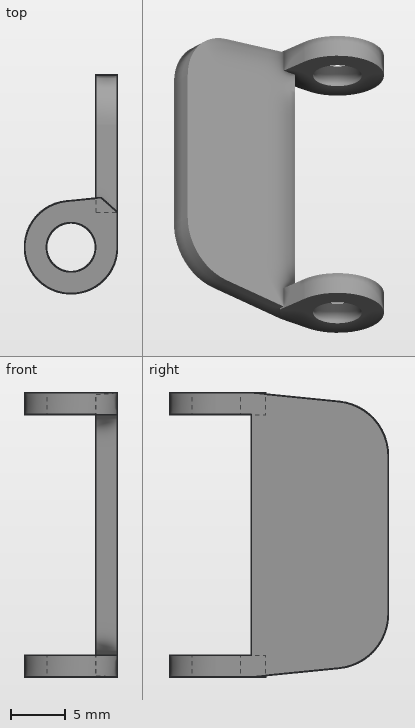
import cadquery as cq
import math

thickness = 2.0
height = 26.0
length = 20.0
eye_radius = 4.25
hole_diameter = 4.46
panel_start_y = 3.2
panel_corner_radius = 5.0
taper = math.radians(5.7)
eye_peak_x = 2.75

panel_tip_y = length - eye_radius
panel_inner_x = eye_radius - thickness
half_height = height / 2
panel_tip_half_height = half_height - (panel_tip_y - panel_start_y) * math.tan(taper)


def make_panel():
    """Flat plate that narrows away from the hinge axis, with rounded far corners."""
    outline = [
        (panel_start_y, -half_height),
        (panel_tip_y, -panel_tip_half_height),
        (panel_tip_y, panel_tip_half_height),
        (panel_start_y, half_height),
    ]
    plate = (
        cq.Workplane("YZ", origin=(panel_inner_x, 0, 0))
        .polyline(outline)
        .close()
        .extrude(thickness)
    )
    return plate.edges("|X and >Y").fillet(panel_corner_radius)


def make_eyelet(bottom_z):
    """Ring around the hinge axis with a pointed lug that joins the panel."""
    tangent_point = (-eye_radius * math.sin(taper), eye_radius * math.cos(taper))
    eye_peak_y = eye_radius / math.cos(taper) + eye_peak_x * math.tan(taper)
    mid_angle = math.radians(225)
    mid_point = (eye_radius * math.cos(mid_angle), eye_radius * math.sin(mid_angle))
    return (
        cq.Workplane("XY", origin=(0, 0, bottom_z))
        .moveTo(eye_radius, 0)
        .lineTo(eye_radius, panel_start_y)
        .lineTo(eye_peak_x, eye_peak_y)
        .lineTo(*tangent_point)
        .threePointArc(mid_point, (eye_radius, 0))
        .close()
        .extrude(thickness)
    )


def make_hinge_hole():
    """Cutter for the pin hole through both eyelets."""
    return cq.Workplane("XY", origin=(0, 0, -half_height)).circle(hole_diameter / 2).extrude(height)


result = make_panel()
for eyelet_bottom_z in (-half_height, half_height - thickness):
    result = result.union(make_eyelet(eyelet_bottom_z))
result = result.cut(make_hinge_hole())